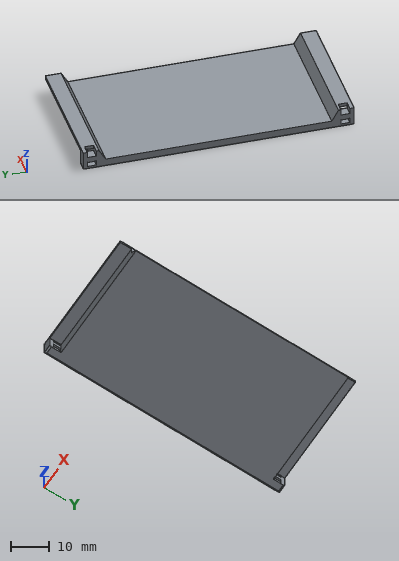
import cadquery as cq

overall_length_x = 37.5
width = 72.5
height = 5.5
half_width = width / 2

floor_height = 2.5
tongue_reach = 2.0
body_length = overall_length_x - tongue_reach
tongue_tip_height = floor_height - tongue_reach

rail_top_width = 4.2
rail_foot_width = 6.0
undercut_depth = 3.5
flange_thickness = 0.95
end_block_length = 2.6
bottom_chamfer = 0.5

opening_width = 2.3
lower_opening_bottom = 1.1
lower_opening_height = 1.2
notch_bottom = 3.9

body_half_width = half_width - undercut_depth


def corner_box(x, y, z, length, depth, tall):
    """Box given by its lowest corner and its sizes."""
    return cq.Workplane("XY").box(length, depth, tall, centered=False).translate((x, y, z))


def make_body():
    """Channel section along X, with its bottom edges chamfered."""
    rail_inner = half_width - rail_top_width
    rail_foot = half_width - rail_foot_width
    section = [
        (-half_width, 0),
        (half_width, 0),
        (half_width, height),
        (rail_inner, height),
        (rail_foot, floor_height),
        (-rail_foot, floor_height),
        (-rail_inner, height),
        (-half_width, height),
    ]
    body = cq.Workplane("YZ").polyline(section).close().extrude(body_length)
    return body.faces("<Z").edges("<X or <Y or >Y").chamfer(bottom_chamfer)


def make_tongue():
    """Bevelled strip between the undercuts, beyond the +X end of the body."""
    profile = [
        (body_length, 0),
        (overall_length_x, 0),
        (overall_length_x, tongue_tip_height),
        (body_length, floor_height),
    ]
    return cq.Workplane("XZ").polyline(profile).close().extrude(body_half_width, both=True)


def make_side_cuts():
    """Undercut below the flange and the two end-block openings, on the +Y side."""
    undercut = corner_box(
        end_block_length, body_half_width, 0,
        body_length - end_block_length, undercut_depth, height - flange_thickness,
    )
    lower_opening = corner_box(
        0, body_half_width, lower_opening_bottom,
        end_block_length, opening_width, lower_opening_height,
    )
    notch = corner_box(
        0, body_half_width, notch_bottom,
        end_block_length, opening_width, height - notch_bottom,
    )
    return undercut.union(lower_opening).union(notch)


side_cuts = make_side_cuts()
result = make_body().union(make_tongue()).cut(side_cuts).cut(side_cuts.mirror("XZ"))